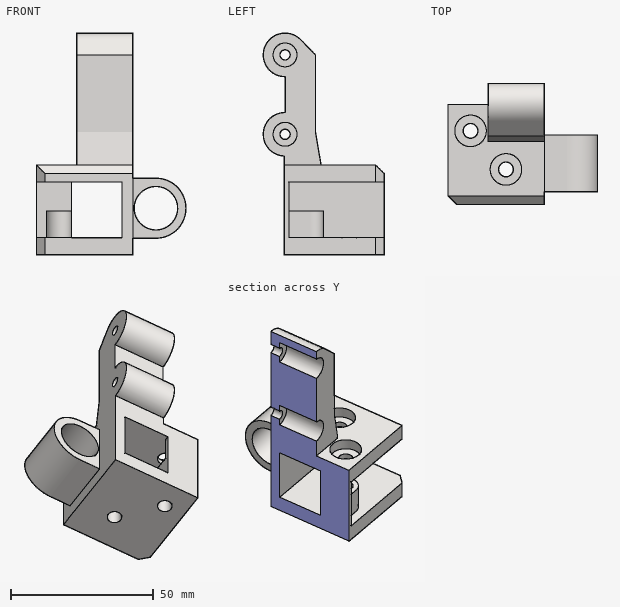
import cadquery as cq
import math


box_width = 33.9
box_depth = 35.2
plate_thickness = 6.05
gap_height = 19.5
box_height = 2 * plate_thickness + gap_height
gap_top = plate_thickness + gap_height
side_wall = 3.9
back_wall = 1.65
edge_chamfer = 3.05

screw_hole_dia = 5.1
screw_head_dia = 11.1
screw_head_depth = 4.0
post_hole = (7.95, 25.9)
front_hole = (20.4, 12.35)

post_radius = 4.45
post_height = 9.45
back_wall_end = post_hole[0] + post_radius

arm_width = 19.8
arm_left = box_width - arm_width
arm_front = 24.15
arm_foot_height = 11.5
arm_foot_front = 22.2
lug_radius = 7.7
lug_y = 34.9
lug_spacing = 27.9
upper_lug_z = 70.29
lower_lug_z = upper_lug_z - lug_spacing
lug_hole_dia = 3.5
lug_bore_dia = 8.4
lug_bore_depth = 16.0

ring_bore_radius = 7.6
ring_wall = 3.0
ring_radius = ring_bore_radius + ring_wall
ring_x = 42.0
ring_z = 16.4
ring_front = 4.45
ring_width = 20.0


def block(x_range, y_range, z_range):
    """Axis-aligned block between the given limits."""
    sizes = [high - low for low, high in (x_range, y_range, z_range)]
    corner = cq.Vector(x_range[0], y_range[0], z_range[0])
    return cq.Workplane("XY").box(*sizes, centered=False).translate(corner)


def cylinder(start, direction, radius, length):
    """Cylinder growing from a start point along a direction."""
    return cq.Workplane(cq.Solid.makeCylinder(radius, length, cq.Vector(*start), cq.Vector(*direction)))


def make_box():
    """Two plates joined by a right wall and a short back wall."""
    body = block((0, box_width), (0, box_depth), (0, box_height))
    gap = block((0, box_width - side_wall), (0, box_depth - back_wall), (plate_thickness, gap_top))
    back_window = block(
        (back_wall_end, box_width - side_wall),
        (box_depth - back_wall, box_depth),
        (plate_thickness, gap_top),
    )
    body = body.edges("|Z and <X and <Y").chamfer(edge_chamfer)
    body = body.faces("<Y").edges(">Z").chamfer(edge_chamfer)
    return body.cut(gap).cut(back_window)


def make_post():
    """Round-nosed post running back to the back wall."""
    x, y = post_hole
    top = plate_thickness + post_height
    nose = cylinder((x, y, plate_thickness), (0, 0, 1), post_radius, post_height)
    tail = block((x - post_radius, x + post_radius), (y, box_depth), (plate_thickness, top))
    return nose.union(tail)


def make_arm():
    """Upright arm whose sloped top is tangent to the upper lug."""
    tangent_angle = math.acos(lug_radius / (lug_y - arm_front))
    tangent_y = lug_y - lug_radius * math.cos(tangent_angle)
    tangent_z = upper_lug_z + lug_radius * math.sin(tangent_angle)
    arm = (
        cq.Workplane("YZ", origin=(arm_left, 0, 0))
        .moveTo(arm_foot_front, box_height)
        .lineTo(arm_front, box_height + arm_foot_height)
        .lineTo(arm_front, upper_lug_z)
        .lineTo(tangent_y, tangent_z)
        .lineTo(lug_y, upper_lug_z)
        .lineTo(lug_y, lower_lug_z)
        .lineTo(box_depth, lower_lug_z)
        .lineTo(box_depth, box_height)
        .close()
        .extrude(arm_width)
    )
    for lug_z in (lower_lug_z, upper_lug_z):
        arm = arm.union(cylinder((arm_left, lug_y, lug_z), (1, 0, 0), lug_radius, arm_width))
    return arm


def make_ring():
    """Clamp ring with flat top and bottom running to the side wall."""
    web = block(
        (box_width, ring_x),
        (ring_front, ring_front + ring_width),
        (ring_z - ring_radius, ring_z + ring_radius),
    )
    start = (ring_x, ring_front, ring_z)
    ring = web.union(cylinder(start, (0, 1, 0), ring_radius, ring_width))
    return ring.cut(cylinder(start, (0, 1, 0), ring_bore_radius, ring_width))


def cut_screw_hole(body, x, y):
    """Vertical through hole with a counterbore in the top plate."""
    hole = cylinder((x, y, 0), (0, 0, 1), screw_hole_dia / 2, box_height)
    head = cylinder((x, y, box_height), (0, 0, -1), screw_head_dia / 2, screw_head_depth)
    return body.cut(hole).cut(head)


def cut_lug_hole(body, lug_z):
    """Cross hole through a lug with a deep bore from the left."""
    start = (arm_left, lug_y, lug_z)
    hole = cylinder(start, (1, 0, 0), lug_hole_dia / 2, arm_width)
    bore = cylinder(start, (1, 0, 0), lug_bore_dia / 2, lug_bore_depth)
    return body.cut(hole).cut(bore)


result = make_box().union(make_post()).union(make_arm()).union(make_ring())
for hole_x, hole_y in (post_hole, front_hole):
    result = cut_screw_hole(result, hole_x, hole_y)
for lug_height in (lower_lug_z, upper_lug_z):
    result = cut_lug_hole(result, lug_height)